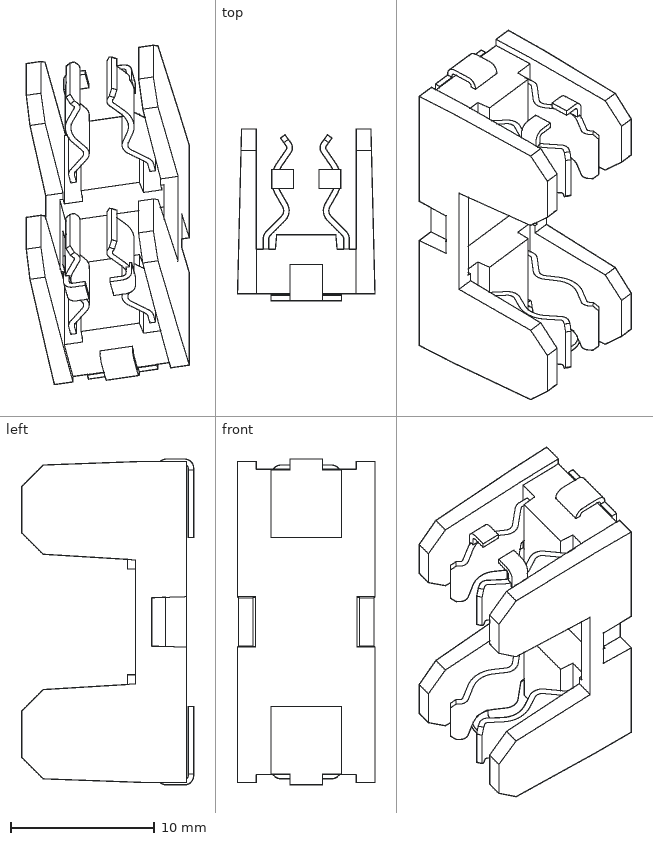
import cadquery as cq

BASE_WIDTH = 9.6
TIP_WIDTH = 9.04
WALL_HEIGHT = 11.5
WALL_INNER_X = 3.47
WALL_END_Z = 11.2

ARM_DRAFT_START_Y = 3.12
ARM_SHOULDER_Y = 10.0
ARM_SHOULDER_Z = 10.95
ARM_CHAMFER = WALL_HEIGHT - ARM_SHOULDER_Y
ARM_INNER_Z = 4.71
ARM_ROOT_Z = 4.32
RAIL_HEIGHT = 3.57
RAIL_INNER_X = 3.7

FLOOR_HEIGHT = 1.48
END_FACE_Z = 10.65
BLOCK_INNER_Z = 3.68
BLOCK_HEIGHT = ARM_DRAFT_START_Y
RIB_HEIGHT = 4.13
RIB_ROOT_HALF_WIDTH = 2.16
RIB_TOP_HALF_WIDTH = 2.07

WINDOW_INNER_X = 3.54
WINDOW_HEIGHT = 2.42
WINDOW_BASE_HALF_LENGTH = 1.76
WINDOW_TOP_HALF_LENGTH = 1.68

SHEET = 0.4
PAD_OUTER_Y = -0.5
PAD_WIDTH = 4.95
PAD_OUTER_Z = 10.6
PAD_INNER_Z = 5.88
TAB_WIDTH = 2.3
TAB_TOP_Z = 11.37
TAB_BEND = 0.65
TAB_FAR_Y = 2.05
TAB_EMBED_Z = 10.2

BLADE_INNER_Z = 5.72
BLADE_OUTER_Z = 9.7
BLADE_ROOT_X = 2.81
BLADE_ROOT_Y = 2.6
BLADE_CORNERS = [
    (BLADE_ROOT_X, 4.05, 0.6),
    (1.20, 5.67, 0.75),
    (2.55, 8.04, 1.9),
    (1.07, 10.19, 0.4),
]
BLADE_TIP = (1.64, 10.98)
TIP_CHAMFER = 0.4

EAR_OUTER_X = 2.42
EAR_INNER_X = 0.88
EAR_START_Y = 7.34
EAR_END_Y = 8.68
EAR_TOP_Z = 10.95
EAR_BEND = 0.67


def box(x_range, y_range, z_range):
    """Axis-aligned block given by its limits."""
    size = [high - low for low, high in (x_range, y_range, z_range)]
    corner = cq.Vector(x_range[0], y_range[0], z_range[0])
    return cq.Workplane(cq.Solid.makeBox(*size, corner))


def both_sides(shape, plane):
    """The shape joined with its mirror image."""
    return shape.union(shape.mirror(plane))


def side_wall():
    """Wall at +X: two tapered arms joined by a low rail."""
    half_outline = [
        (0, WALL_END_Z),
        (ARM_DRAFT_START_Y, WALL_END_Z),
        (ARM_SHOULDER_Y, ARM_SHOULDER_Z),
        (WALL_HEIGHT, ARM_SHOULDER_Z - ARM_CHAMFER),
        (WALL_HEIGHT, ARM_INNER_Z + ARM_CHAMFER),
        (ARM_SHOULDER_Y, ARM_INNER_Z),
        (RAIL_HEIGHT, ARM_ROOT_Z),
    ]
    outline = half_outline + [(y, -z) for y, z in reversed(half_outline)]
    slab = cq.Workplane("YZ").polyline(outline).close().extrude(BASE_WIDTH / 2)
    section = (
        cq.Workplane("XY", origin=(0, 0, -WALL_END_Z))
        .polyline([
            (WALL_INNER_X, 0),
            (BASE_WIDTH / 2, 0),
            (TIP_WIDTH / 2, WALL_HEIGHT),
            (WALL_INNER_X, WALL_HEIGHT),
        ])
        .close()
        .extrude(2 * WALL_END_Z)
    )
    rail_relief = box(
        (WALL_INNER_X, RAIL_INNER_X), (FLOOR_HEIGHT, RAIL_HEIGHT), (-BLOCK_INNER_Z, BLOCK_INNER_Z)
    )
    return slab.intersect(section).cut(rail_relief)


def floor():
    return box((-WALL_INNER_X, WALL_INNER_X), (0, FLOOR_HEIGHT), (-END_FACE_Z, END_FACE_Z))


def end_block():
    """Raised block at the +Z end, with a central rib between the clip blades."""
    half_section = [
        (WALL_INNER_X, 0),
        (WALL_INNER_X, BLOCK_HEIGHT),
        (RIB_ROOT_HALF_WIDTH, BLOCK_HEIGHT),
        (RIB_TOP_HALF_WIDTH, RIB_HEIGHT),
    ]
    section = half_section + [(-x, y) for x, y in reversed(half_section)]
    return (
        cq.Workplane("XY", origin=(0, 0, BLOCK_INNER_Z))
        .polyline(section)
        .close()
        .extrude(END_FACE_Z - BLOCK_INNER_Z)
    )


def wall_window():
    """Cutter for the +X window, open at the mounting face and tapering inwards."""
    return (
        cq.Workplane("YZ", origin=(WINDOW_INNER_X, 0, 0))
        .polyline([
            (0, -WINDOW_BASE_HALF_LENGTH),
            (WINDOW_HEIGHT, -WINDOW_TOP_HALF_LENGTH),
            (WINDOW_HEIGHT, WINDOW_TOP_HALF_LENGTH),
            (0, WINDOW_BASE_HALF_LENGTH),
        ])
        .close()
        .extrude(BASE_WIDTH / 2 - WINDOW_INNER_X)
    )


def solder_pad():
    """Pad at the +Z end, standing just off the mounting face."""
    return box(
        (-PAD_WIDTH / 2, PAD_WIDTH / 2), (PAD_OUTER_Y, PAD_OUTER_Y + SHEET), (PAD_INNER_Z, PAD_OUTER_Z)
    )


def pad_tab():
    """Strip bent from the pad over the end of the body and back down into the end block."""

    def hook(inset):
        return (
            cq.Workplane("YZ", origin=(-TAB_WIDTH / 2, 0, 0))
            .moveTo(PAD_OUTER_Y + inset, TAB_EMBED_Z)
            .lineTo(PAD_OUTER_Y + inset, TAB_TOP_Z - inset)
            .lineTo(TAB_FAR_Y - inset, TAB_TOP_Z - inset)
            .lineTo(TAB_FAR_Y - inset, TAB_EMBED_Z)
            .close()
            .extrude(TAB_WIDTH)
            .edges("|X and >Z")
            .fillet(TAB_BEND - inset)
        )

    return hook(0).cut(hook(SHEET))


def clip_blade():
    """Wavy spring blade at +X of the +Z clip, with its free end chamfered."""
    height = BLADE_OUTER_Z - BLADE_INNER_Z
    middle_z = (BLADE_OUTER_Z + BLADE_INNER_Z) / 2
    corners = [cq.Vector(x, y, middle_z) for x, y, _ in BLADE_CORNERS]
    root = cq.Vector(BLADE_ROOT_X, BLADE_ROOT_Y, middle_z)
    tip = cq.Vector(*BLADE_TIP, middle_z)
    path = cq.Wire.makePolygon([root, *corners, tip])
    for corner, (_, _, bend_radius) in zip(corners, BLADE_CORNERS):
        vertex = min(path.Vertices(), key=lambda v: (v.Center() - corner).Length)
        path = path.fillet(bend_radius, [vertex])
    blade = (
        cq.Workplane("XZ", origin=(BLADE_ROOT_X, BLADE_ROOT_Y, middle_z))
        .rect(SHEET, height)
        .sweep(cq.Workplane(path))
    )
    end_face = blade.faces(cq.NearestToPointSelector(tip.toTuple()))
    return end_face.edges("not |Z").chamfer(TIP_CHAMFER)


def stop_ear():
    """Ear rising from the +X blade and bent inwards over the clip."""

    def corner(inset):
        return (
            box(
                (EAR_INNER_X, EAR_OUTER_X - inset),
                (EAR_START_Y, EAR_END_Y),
                (BLADE_OUTER_Z - SHEET, EAR_TOP_Z - inset),
            )
            .edges("|Y and >X and >Z")
            .fillet(EAR_BEND - inset)
        )

    return corner(0).cut(corner(SHEET))


wall = side_wall().cut(wall_window())
body = floor().cut(both_sides(wall_window(), "YZ")).union(both_sides(wall, "YZ"))

clip = both_sides(clip_blade().union(stop_ear()), "YZ")
end_parts = end_block().union(solder_pad()).union(pad_tab()).union(clip)

result = body.union(both_sides(end_parts, "XY"))